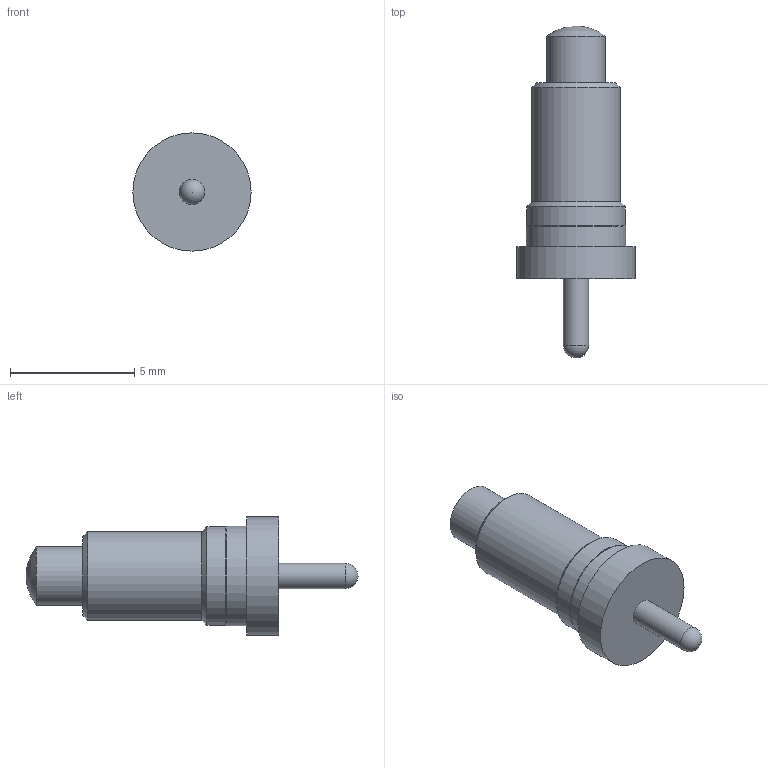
import cadquery as cq


tail_diameter = 1.02
flange_diameter = 4.75
rear_collar_diameter = 3.99
front_collar_diameter = 3.97
barrel_diameter = 3.56
plunger_diameter = 2.34

overall_length = 13.34
tail_length = 3.18
flange_thickness = 1.29
rear_collar_length = 0.80
collar_taper_length = 0.04
front_collar_length = 0.96
barrel_length = 4.79
dome_height = 0.41
edge_chamfer = 0.20

taper_start = flange_thickness + rear_collar_length
taper_end = taper_start + collar_taper_length
collar_end = taper_end + front_collar_length
barrel_end = collar_end + barrel_length
plunger_tip = overall_length - tail_length


def revolve_about_y(profile):
    """Full turn of a closed half profile drawn in the XY plane."""
    return profile.close().revolve(360, (0, 0, 0), (0, 1, 0))


def make_cylinder(diameter, start, end):
    """Solid cylinder on the Y axis between two axial positions."""
    start_plane = cq.Plane(origin=(0, start, 0), xDir=(1, 0, 0), normal=(0, 1, 0))
    return cq.Workplane(start_plane).circle(diameter / 2).extrude(end - start)


def make_chamfered_cylinder(diameter, start, end):
    """Cylinder with its +Y edge chamfered."""
    return make_cylinder(diameter, start, end).faces(">Y").chamfer(edge_chamfer)


def make_tail():
    """Solder tail with a hemispherical end."""
    radius = tail_diameter / 2
    hemisphere_center = radius - tail_length
    arc_offset = radius / 2**0.5
    profile = (
        cq.Workplane("XY")
        .moveTo(0, -tail_length)
        .threePointArc((arc_offset, hemisphere_center - arc_offset), (radius, hemisphere_center))
        .lineTo(radius, 0)
        .lineTo(0, 0)
    )
    return revolve_about_y(profile)


def make_rear_collar():
    """Slightly larger collar against the flange, with a short taper down to the front collar."""
    rear_radius = rear_collar_diameter / 2
    front_radius = front_collar_diameter / 2
    profile = (
        cq.Workplane("XY")
        .moveTo(0, flange_thickness)
        .lineTo(rear_radius, flange_thickness)
        .lineTo(rear_radius, taper_start)
        .lineTo(front_radius, taper_end)
        .lineTo(0, taper_end)
    )
    return revolve_about_y(profile)


def make_plunger():
    """Plunger ending in a shallow spherical dome."""
    radius = plunger_diameter / 2
    dome_start = plunger_tip - dome_height
    dome_radius = (radius**2 + dome_height**2) / (2 * dome_height)
    dome_center = plunger_tip - dome_radius
    arc_mid_x = radius / 2
    arc_mid_y = dome_center + (dome_radius**2 - arc_mid_x**2) ** 0.5
    profile = (
        cq.Workplane("XY")
        .moveTo(0, barrel_end)
        .lineTo(radius, barrel_end)
        .lineTo(radius, dome_start)
        .threePointArc((arc_mid_x, arc_mid_y), (0, plunger_tip))
    )
    return revolve_about_y(profile)


tail = make_tail()
flange = make_cylinder(flange_diameter, 0, flange_thickness)
rear_collar = make_rear_collar()
front_collar = make_chamfered_cylinder(front_collar_diameter, taper_end, collar_end)
barrel = make_chamfered_cylinder(barrel_diameter, collar_end, barrel_end)
plunger = make_plunger()

result = flange.union(tail).union(rear_collar).union(front_collar).union(barrel).union(plunger)